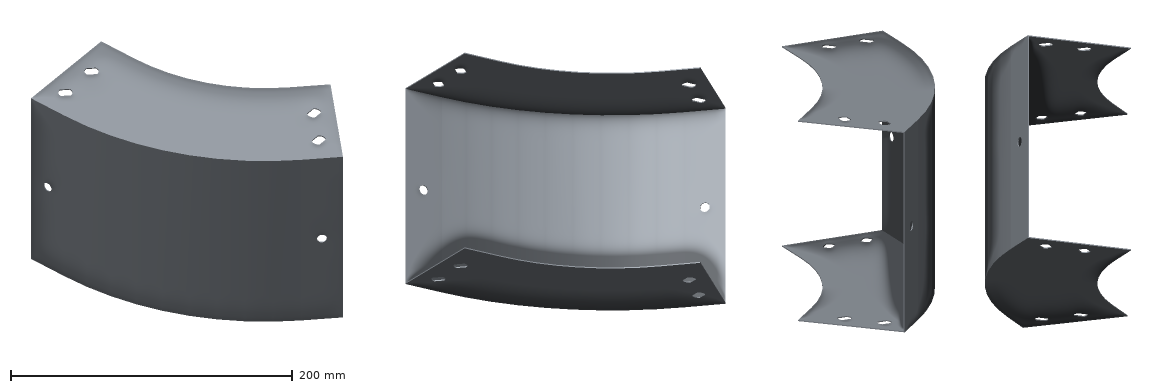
import cadquery as cq
import math

height = 150.0
flange_width = 80.0
sheet = 0.8
straight = 30.0
bend_angle = 45
overall_length = 213.5

bend_radians = math.radians(bend_angle)
bend_span = overall_length - straight * (1 + math.cos(bend_radians))
outer_radius = bend_span / math.sin(bend_radians)

hole_diameter = 7.0
slot_length = 10.0
slot_width = 7.0
hole_setback = straight / 2
slot_offsets = (20.3, 50.2)
slot_angle = 45

bend_center = (straight, outer_radius)


def bend_point(radius, angle, run=0):
    """Point on the bend at an angle, moved along the tangent by run."""
    a = math.radians(angle)
    x = bend_center[0] + radius * math.sin(a) + run * math.cos(a)
    y = bend_center[1] - radius * math.cos(a) + run * math.sin(a)
    return x, y


def curved_strip(width, thickness):
    """Strip following the channel, measured inward from the outside of the web."""
    inner_radius = outer_radius - width
    return (
        cq.Workplane("XY")
        .moveTo(*bend_point(outer_radius, 0, -straight))
        .lineTo(*bend_point(outer_radius, 0))
        .threePointArc(bend_point(outer_radius, bend_angle / 2), bend_point(outer_radius, bend_angle))
        .lineTo(*bend_point(outer_radius, bend_angle, straight))
        .lineTo(*bend_point(inner_radius, bend_angle, straight))
        .lineTo(*bend_point(inner_radius, bend_angle))
        .threePointArc(bend_point(inner_radius, bend_angle / 2), bend_point(inner_radius, 0))
        .lineTo(*bend_point(inner_radius, 0, -straight))
        .close()
        .extrude(thickness)
    )


def flange_slots(base_z, angle):
    """Flat-sided round slots of one end, through the flange starting at base_z."""
    centers = [(hole_setback, offset) for offset in slot_offsets]
    ends = cq.Workplane("XY").circle(slot_length / 2).extrude(sheet)
    sides = cq.Workplane("XY").rect(slot_length, slot_width).extrude(sheet)
    slot = ends.intersect(sides).rotate((0, 0, 0), (0, 0, 1), angle).val()
    return (
        cq.Workplane("XY", origin=(0, 0, base_z))
        .pushPoints(centers)
        .eachpoint(lambda place: slot.moved(place))
    )


def web_hole():
    """Cutter for the round hole at mid-height of one end of the web."""
    return (
        cq.Workplane("XZ", origin=(hole_setback, 0, height / 2))
        .circle(hole_diameter / 2)
        .extrude(-sheet)
    )


def at_far_end(cutter):
    """Carry a cutter from the first end of the channel to the other end."""
    along = 2 * (straight - hole_setback)
    pivot_start = (*bend_center, 0)
    pivot_end = (*bend_center, 1)
    return cutter.translate((along, 0, 0)).rotate(pivot_start, pivot_end, bend_angle)


top_flange_z = height - sheet
lower_flange = curved_strip(flange_width, sheet)
upper_flange = lower_flange.translate((0, 0, top_flange_z))
result = curved_strip(sheet, height).union(lower_flange).union(upper_flange)

end_cutters = (
    flange_slots(0, -slot_angle),
    flange_slots(top_flange_z, slot_angle),
    web_hole(),
)
for cutter in end_cutters:
    result = result.cut(cutter).cut(at_far_end(cutter))